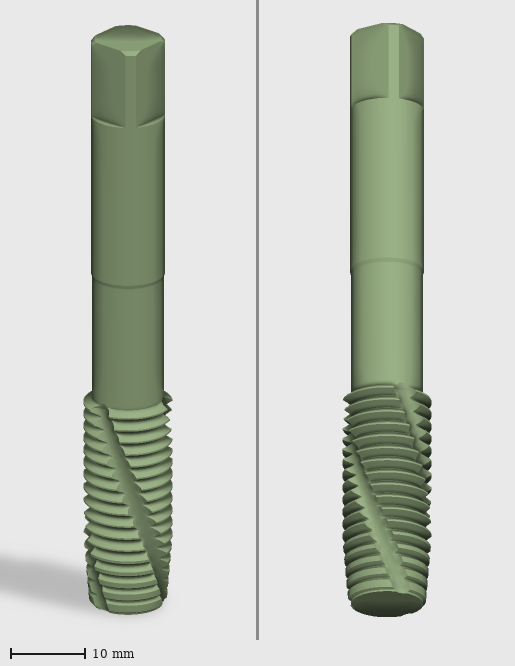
import cadquery as cq
import math

TOTAL_LENGTH = 82.0
THREAD_LENGTH = 29.8

SHANK_DIAMETER = 10.0
NECK_DIAMETER = 9.7
NECK_TOP = 47.5
SHOULDER_CHAMFER_HEIGHT = 0.5
SQUARE_WIDTH = 8.0
SQUARE_LENGTH = 11.0
TOP_CHAMFER = 0.5

THREAD_DIAMETER = 12.0
PITCH = 1.75
CREST_WIDTH = PITCH / 8
RIDGE_COUNT = 17
FLANK_HALF_ANGLE = 30.0

LEAD_TIP_DIAMETER = 10.4
LEAD_LENGTH = 9.5

FLUTE_COUNT = 3
FLUTE_LEAD = 87.0
FLUTE_CUTTER_RADIUS = 1.7
FLUTE_CENTER_RADIUS = 6.2
FLUTE_TOP = 29.3
FLUTE_TOP_ANGLE = -92.0
FLUTE_RUNOUT_HEIGHT = 4.5
FLUTE_RUNOUT_RISE = 1.7


def make_shank():
    """Shank cylinder with a chamfered lower end and a driving square on top."""
    shank_radius = SHANK_DIAMETER / 2
    neck_radius = NECK_DIAMETER / 2
    shank = (
        cq.Workplane("XZ")
        .moveTo(0, NECK_TOP)
        .lineTo(neck_radius, NECK_TOP)
        .lineTo(shank_radius, NECK_TOP + SHOULDER_CHAMFER_HEIGHT)
        .lineTo(shank_radius, TOTAL_LENGTH - TOP_CHAMFER)
        .lineTo(shank_radius - TOP_CHAMFER, TOTAL_LENGTH)
        .lineTo(0, TOTAL_LENGTH)
        .close()
        .revolve(360, (0, 0, 0), (0, 1, 0))
    )
    flats = (
        cq.Workplane("XY")
        .workplane(offset=TOTAL_LENGTH - SQUARE_LENGTH)
        .rect(2 * SHANK_DIAMETER, 2 * SHANK_DIAMETER)
        .rect(SQUARE_WIDTH, SQUARE_WIDTH)
        .extrude(SQUARE_LENGTH)
    )
    return shank.cut(flats)


def make_blank():
    """Neck and core with ring ridges, trimmed by the tapered lead."""
    root_radius = NECK_DIAMETER / 2
    crest_radius = THREAD_DIAMETER / 2
    half_crest = CREST_WIDTH / 2
    half_base = half_crest + (crest_radius - root_radius) * math.tan(math.radians(FLANK_HALF_ANGLE))
    top_ridge = THREAD_LENGTH - half_base
    outline = cq.Workplane("XZ").lineTo(root_radius, 0)
    for index in reversed(range(RIDGE_COUNT)):
        middle = top_ridge - index * PITCH
        outline = (
            outline.lineTo(root_radius, middle - half_base)
            .lineTo(crest_radius, middle - half_crest)
            .lineTo(crest_radius, middle + half_crest)
            .lineTo(root_radius, middle + half_base)
        )
    ridges = (
        outline.lineTo(root_radius, NECK_TOP)
        .lineTo(0, NECK_TOP)
        .close()
        .revolve(360, (0, 0, 0), (0, 1, 0))
    )

    lead_tip_radius = LEAD_TIP_DIAMETER / 2
    envelope = (
        cq.Workplane("XZ")
        .lineTo(lead_tip_radius, 0)
        .lineTo(crest_radius, LEAD_LENGTH)
        .lineTo(crest_radius, NECK_TOP)
        .lineTo(0, NECK_TOP)
        .close()
        .revolve(360, (0, 0, 0), (0, 1, 0))
    )
    return ridges.intersect(envelope)


def flute_section(height):
    """Round cross-section of one flute on the +X side."""
    return (
        cq.Workplane("XY", origin=(0, 0, height))
        .moveTo(FLUTE_CENTER_RADIUS, 0)
        .circle(FLUTE_CUTTER_RADIUS)
    )


def make_flute_cutters():
    """Helical groove plus a straight runout that climbs outward through the neck surface."""
    turn = 360 * FLUTE_TOP / FLUTE_LEAD
    groove = flute_section(0).twistExtrude(FLUTE_TOP, -turn).rotate((0, 0, 0), (0, 0, 1), turn)
    wire = flute_section(FLUTE_TOP).wires().val()
    runout = cq.Workplane(
        cq.Solid.extrudeLinear(wire, [], cq.Vector(FLUTE_RUNOUT_RISE, 0, FLUTE_RUNOUT_HEIGHT))
    )
    return [groove, runout]


def make_cutting_part():
    """Neck and threaded end, with the flutes cut into it."""
    cutting_part = make_blank()
    for index in range(FLUTE_COUNT):
        angle = FLUTE_TOP_ANGLE + index * 360 / FLUTE_COUNT
        for cutter in make_flute_cutters():
            cutting_part = cutting_part.cut(cutter.rotate((0, 0, 0), (0, 0, 1), angle))
    return cutting_part


shank = make_shank()
cutting_part = make_cutting_part()

result = cq.Compound.makeCompound([shank.val(), cutting_part.val()])